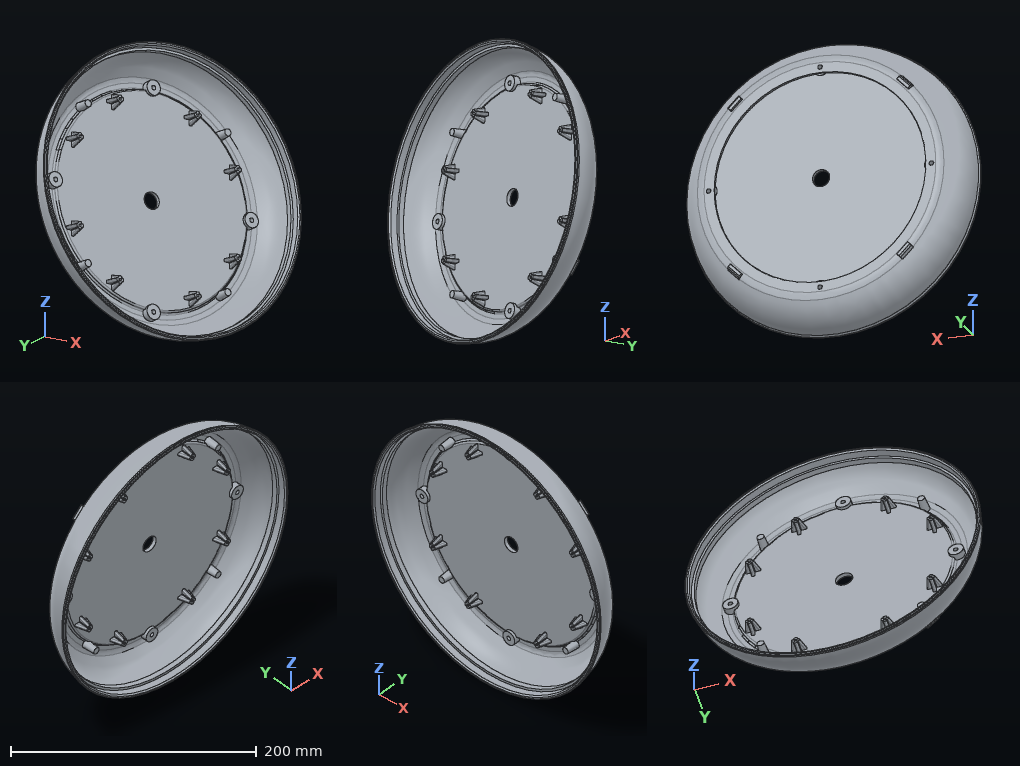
import cadquery as cq
import math


wall = 3.0
back_y = 37.8
shell_centre_r = 85.7
shell_centre_y = 2.5
shell_radius = 39.3
shell_start_angle = 2.0
corner_radius = 12.0

rim_radius = 126.0
rim_chamfer = 0.8
rim_land = 1.0
seat_mouth_radius = 124.0
seat_mouth_chamfer = 1.3
seat_radius = 122.7
seat_depth = 7.8
lip_radius = 120.5
lip_angle = 16.5

floor_radius = 94.2
floor_rise = 3.3
floor_thickness = 3.8
floor_fillet = 1.5
centre_hole_radius = 7.3

boss_circle = 96.0
boss_radius = 6.5
boss_height = 2.8
boss_hole_radius = 1.9

pin_circle = 96.8
pin_base_radius = 4.0
pin_tip_radius = 3.0
pin_height = 9.0

standoff_near = 38.0
standoff_far = 77.4
standoff_height = 10.5
standoff_core_radius = 2.5
standoff_bore_radius = 1.0
standoff_bore_depth = 5.0
rib_base_reach = 6.5
rib_tip_reach = 3.3
rib_thickness = 3.0
rib_edge_fillet = 1.3

pad_inner_r = 101.3
pad_width = 2.8
pad_length = 13.4
pad_proud = 2.3
pad_chamfer = 1.3
pad_flare = 1.3
pad_root = 2.5

corner_centre_y = back_y - corner_radius
corner_offset = shell_radius - corner_radius
corner_angle = math.degrees(math.asin((corner_centre_y - shell_centre_y) / corner_offset))
corner_centre_r = shell_centre_r + corner_offset * math.cos(math.radians(corner_angle))

annulus_y = back_y - wall
floor_y = annulus_y - floor_rise
embed = 1.0

DIAGONALS = (45, 135, 225, 315)
AXES = (0, 90, 180, 270)


def shell_point(radius, angle):
    """Point (r, y) at an angle on an arc about the shell's arc centre."""
    turn = math.radians(angle)
    return shell_centre_r + radius * math.cos(turn), shell_centre_y + radius * math.sin(turn)


def corner_point(radius, angle):
    """Point (r, y) at an angle on an arc about the corner's arc centre."""
    turn = math.radians(angle)
    return corner_centre_r + radius * math.cos(turn), corner_centre_y + radius * math.sin(turn)


def on_circle(radius, angle):
    """Place (x, z) at an angle on a circle about the Y axis."""
    turn = math.radians(angle)
    return radius * math.cos(turn), radius * math.sin(turn)


def cylinder(radius, y_start, y_end, x, z):
    """Cylinder along Y, centred at (x, z)."""
    start = cq.Vector(x, y_start, z)
    return cq.Workplane(obj=cq.Solid.makeCylinder(radius, y_end - y_start, start, cq.Vector(0, 1, 0)))


def make_shell():
    """Revolve the wall profile, drawn as (radius, y)."""
    inner_radius = shell_radius - wall
    inner_corner = corner_radius - wall
    corner_middle = (corner_angle + 90) / 2
    recess_radius = floor_radius - wall
    bend = floor_fillet * (1 - math.sqrt(0.5))
    return (
        cq.Workplane("XY")
        .moveTo(0, floor_y)
        .lineTo(floor_radius - floor_fillet, floor_y)
        .threePointArc((floor_radius - bend, floor_y + bend), (floor_radius, floor_y + floor_fillet))
        .lineTo(floor_radius, annulus_y - floor_fillet)
        .threePointArc(
            (floor_radius + bend, annulus_y - bend),
            (floor_radius + floor_fillet, annulus_y),
        )
        .lineTo(corner_centre_r, annulus_y)
        .threePointArc(corner_point(inner_corner, corner_middle), shell_point(inner_radius, corner_angle))
        .threePointArc(
            shell_point(inner_radius, (corner_angle + lip_angle) / 2),
            shell_point(inner_radius, lip_angle),
        )
        .lineTo(lip_radius, seat_depth)
        .lineTo(seat_radius, seat_depth)
        .lineTo(seat_radius, seat_mouth_chamfer)
        .lineTo(seat_mouth_radius, 0)
        .lineTo(rim_radius - rim_chamfer, 0)
        .lineTo(rim_radius, rim_chamfer)
        .lineTo(rim_radius, rim_chamfer + rim_land)
        .lineTo(*shell_point(shell_radius, shell_start_angle))
        .threePointArc(
            shell_point(shell_radius, corner_angle / 2),
            shell_point(shell_radius, corner_angle),
        )
        .threePointArc(corner_point(corner_radius, corner_middle), (corner_centre_r, back_y))
        .lineTo(recess_radius, back_y)
        .lineTo(recess_radius, floor_y + floor_thickness)
        .lineTo(0, floor_y + floor_thickness)
        .close()
        .revolve(360, (0, 0), (0, 1))
    )


def make_pin(angle):
    """Tapered pin rooted in the recessed ring."""
    x, z = on_circle(pin_circle, angle)
    root = cq.Vector(x, annulus_y + embed, z)
    length = annulus_y + embed - (floor_y - pin_height)
    return cq.Workplane(
        obj=cq.Solid.makeCone(pin_base_radius, pin_tip_radius, length, root, cq.Vector(0, -1, 0))
    )


def make_standoff():
    """Round core carrying four tapered ribs, standing on the floor at the Y axis."""
    tip_y = floor_y - standoff_height
    post = cylinder(standoff_core_radius, tip_y, floor_y + embed, 0, 0)
    rib = (
        cq.Workplane("XY")
        .moveTo(-rib_tip_reach, tip_y)
        .lineTo(rib_tip_reach, tip_y)
        .lineTo(rib_base_reach, floor_y)
        .lineTo(rib_base_reach, floor_y + embed)
        .lineTo(-rib_base_reach, floor_y + embed)
        .lineTo(-rib_base_reach, floor_y)
        .close()
        .extrude(rib_thickness / 2, both=True)
    )
    rib = rib.edges("(not |Z) and (not |X)").fillet(rib_edge_fillet)
    post = post.union(rib).union(rib.rotate((0, 0, 0), (0, 1, 0), 90))
    return post.cut(cylinder(standoff_bore_radius, tip_y, tip_y + standoff_bore_depth, 0, 0))


def make_foot_pad():
    """Bar on the back at angle zero, with a bevelled and flared outer face."""
    top_y = back_y + pad_proud
    top_outer_r = pad_inner_r + pad_width
    bevel_r = top_outer_r + pad_chamfer
    return (
        cq.Workplane("XY")
        .moveTo(pad_inner_r, back_y - pad_root)
        .lineTo(pad_inner_r, top_y)
        .lineTo(top_outer_r, top_y)
        .lineTo(bevel_r, top_y - pad_chamfer)
        .lineTo(bevel_r + pad_flare, back_y - pad_root)
        .close()
        .extrude(pad_length / 2, both=True)
    )


result = make_shell()
result = result.cut(cylinder(centre_hole_radius, 0, back_y, 0, 0))

for angle in DIAGONALS:
    result = result.union(make_pin(angle))
    result = result.union(make_foot_pad().rotate((0, 0, 0), (0, 1, 0), angle))

standoff = make_standoff()
for across, up in ((standoff_near, standoff_far), (standoff_far, standoff_near)):
    for x in (-across, across):
        for z in (-up, up):
            result = result.union(standoff.translate((x, 0, z)))

for angle in AXES:
    x, z = on_circle(boss_circle, angle)
    result = result.union(cylinder(boss_radius, floor_y - boss_height, annulus_y + embed, x, z))
    result = result.cut(cylinder(boss_hole_radius, 0, back_y, x, z))